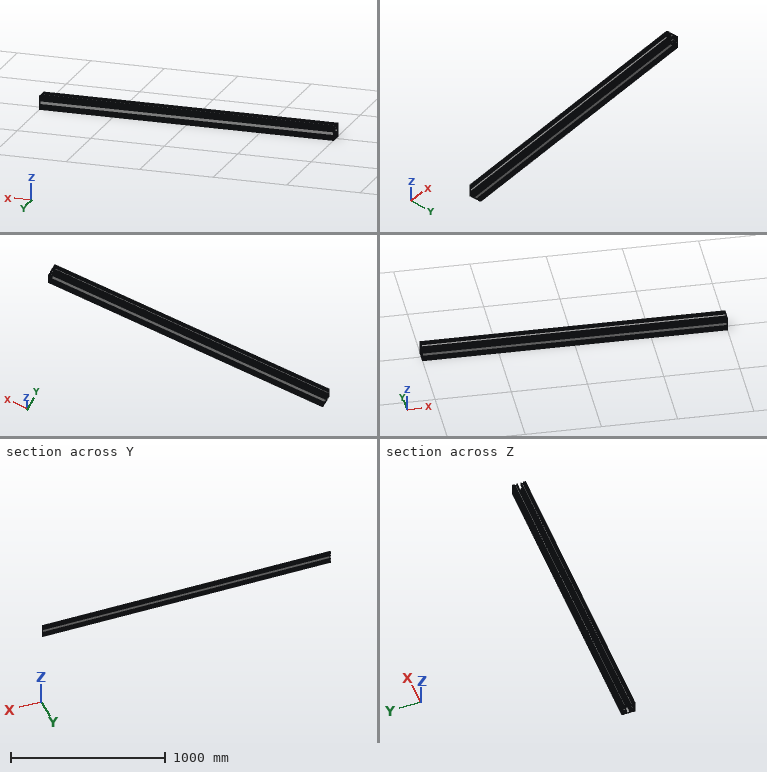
import cadquery as cq

length = 2000.0
side = 90.0
half_side = side / 2
corner_radius = 2.5

quarter_count = 4
quarter_angle = 360 / quarter_count
module_centre = side / 4
core_diameter = 11.7

mouth_width = 10.0
mouth_depth = 1.5
throat_width = 8.2
lip_thickness = 4.5
cavity_width = 17.0
cavity_wall_depth = 6.0
cavity_floor_width = 11.0
slot_depth = 14.5

hollow_wall = 3.0
hollow_arm_width = 25.0
hollow_inner_bevel = 8.0

corner_wall = 4.0
corner_hollow_size = 7.0


def extrude_full_length(sketch):
    """Extrude a Y-Z sketch over the full length, centred on X = 0."""
    return sketch.extrude(length / 2, both=True)


def extrude_mirrored(right_half, centre_y=0.0):
    """Extrude an outline given by its right half, mirrored about the line Y = centre_y."""
    left_half = [(-y, z) for y, z in reversed(right_half)]
    outline = [(centre_y + y, z) for y, z in right_half + left_half]
    return extrude_full_length(cq.Workplane("YZ").polyline(outline).close())


def bar():
    """Solid square bar with rounded long edges, centred on the origin."""
    blank = extrude_full_length(cq.Workplane("YZ").rect(side, side))
    return blank.edges("|X").fillet(corner_radius)


def t_slot(centre_y):
    """Cutter for one T-slot in the top face, centred at the given Y."""
    mouth_bottom = half_side - mouth_depth
    lip_bottom = half_side - lip_thickness
    right_half = [
        (mouth_width / 2, half_side),
        (mouth_width / 2, mouth_bottom),
        (throat_width / 2, mouth_bottom),
        (throat_width / 2, lip_bottom),
        (cavity_width / 2, lip_bottom),
        (cavity_width / 2, half_side - cavity_wall_depth),
        (cavity_floor_width / 2, half_side - slot_depth),
    ]
    return extrude_mirrored(right_half, centre_y)


def hollow_arm():
    """Cutter for the upper arm and the bevelled middle of the central cross."""
    half_arm = hollow_arm_width / 2
    right_half = [
        (half_arm, half_side - hollow_wall),
        (half_arm, half_arm + hollow_inner_bevel),
        (half_arm + hollow_inner_bevel, half_arm),
        (half_arm, -half_arm),
    ]
    return extrude_mirrored(right_half)


def core_bore():
    """Cutter for the round bore in the middle of the +Y +Z quarter."""
    sketch = cq.Workplane("YZ").center(module_centre, module_centre)
    return extrude_full_length(sketch.circle(core_diameter / 2))


def corner_hollow():
    """Cutter for the square hollow in the corner of the +Y +Z quarter."""
    centre = half_side - corner_wall - corner_hollow_size / 2
    sketch = cq.Workplane("YZ").center(centre, centre)
    return extrude_full_length(sketch.rect(corner_hollow_size, corner_hollow_size))


cutters = [
    hollow_arm(),
    core_bore(),
    corner_hollow(),
    t_slot(-module_centre),
    t_slot(module_centre),
]
result = bar()
for quarter in range(quarter_count):
    for cutter in cutters:
        turned_cutter = cutter.rotate((0, 0, 0), (1, 0, 0), quarter * quarter_angle)
        result = result.cut(turned_cutter)